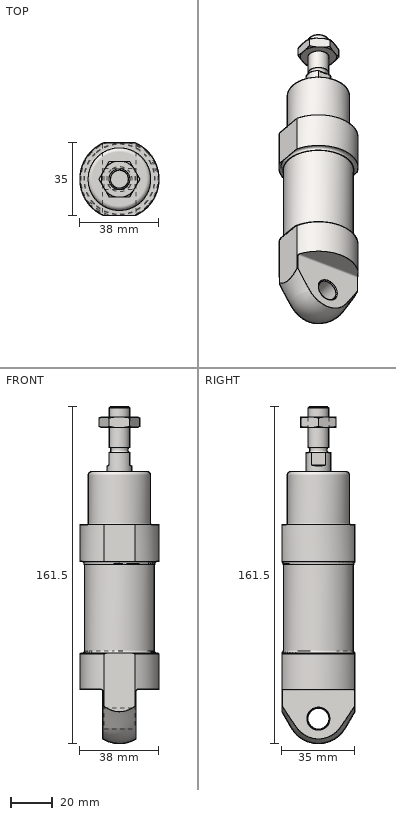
import cadquery as cq
import math


top_z = 149.5
bottom_z = -12.0

rod_reach = 31.0
rod_d = 12.0
thread_d = 10.0
thread_length = 19.5
tip_chamfer = 0.7
undercut_d = 8.4
undercut_length = 2.5
wrench_width = 10.0
wrench_length = 6.0
wrench_foot_drop = 0.5

nut_width = 17.0
nut_thickness = 5.0
nut_top_gap = 5.0
nut_chamfer_d = 17.4
nut_chamfer_angle = 25.0

nose_d = 30.0
nose_fillet = 2.0
nose_length = 25.5
nose_root_fillet = 0.4
cap_d = 38.0
cap_width = 35.0
front_cap_length = 17.7
rear_cap_length = 17.5
rear_cap_chamfer = 0.5
tube_d = 33.6
tube_length = 43.8
tube_fillet = 1.0
collar_d = 34.0
collar_length = 1.4

eye_thickness = 16.0
eye_root_fillet = 0.8
eye_hole_d = 10.0
eye_hole_chamfer = 0.5
dome_radius = 15.0
dome_cone_angle = 60.0

thread_end_z = top_z - thread_length
rod_shoulder_z = thread_end_z - undercut_length
nut_z = top_z - nut_top_gap - nut_thickness
nose_top_z = top_z - rod_reach
front_cap_top_z = nose_top_z - nose_length
tube_top_z = front_cap_top_z - front_cap_length
rear_cap_top_z = tube_top_z - tube_length
rear_cap_z = rear_cap_top_z - rear_cap_length


def cylinder(diameter, z_low, z_high):
    return cq.Workplane("XY").workplane(offset=z_low).circle(diameter / 2).extrude(z_high - z_low)


def block(size_x, size_y, z_low, z_high):
    return cq.Workplane("XY").workplane(offset=z_low).rect(size_x, size_y).extrude(z_high - z_low)


def make_spindle(core_d, z_low, z_high, low_fillet, high_fillet):
    """Round core along Z that flares through a concave fillet at each end; a zero fillet stays straight."""
    core_r = core_d / 2
    inset = 1 - math.sqrt(0.5)
    outline = cq.Workplane("XZ").moveTo(0, z_low).lineTo(core_r + low_fillet, z_low)
    if low_fillet:
        outline = outline.threePointArc(
            (core_r + low_fillet * inset, z_low + low_fillet * inset), (core_r, z_low + low_fillet)
        )
    outline = outline.lineTo(core_r, z_high - high_fillet)
    if high_fillet:
        outline = outline.threePointArc(
            (core_r + high_fillet * inset, z_high - high_fillet * inset), (core_r + high_fillet, z_high)
        )
    return outline.lineTo(0, z_high).close().revolve(360, (0, 0, 0), (0, 1, 0))


def make_wrench_cut():
    """Material beside one wrench flat, with a foot that slopes down and outward."""
    foot_z = rod_shoulder_z - wrench_length
    flat_x = wrench_width / 2
    return (
        cq.Workplane("XZ")
        .moveTo(flat_x, rod_shoulder_z)
        .lineTo(rod_d / 2, rod_shoulder_z)
        .lineTo(rod_d / 2, foot_z - wrench_foot_drop)
        .lineTo(flat_x, foot_z)
        .close()
        .extrude(rod_d / 2, both=True)
    )


def make_rod():
    thread = cylinder(thread_d, thread_end_z, top_z).faces(">Z").chamfer(tip_chamfer)
    undercut_fillet = (thread_d - undercut_d) / 2
    undercut = make_spindle(undercut_d, rod_shoulder_z, thread_end_z, undercut_fillet, undercut_fillet)
    wrench_cut = make_wrench_cut()
    shank = cylinder(rod_d, nose_top_z, rod_shoulder_z).cut(wrench_cut).cut(wrench_cut.mirror("YZ"))
    return shank.union(undercut).union(thread)


def make_nut():
    corner_d = nut_width / math.cos(math.pi / 6)
    drop = (corner_d - nut_chamfer_d) / 2 * math.tan(math.radians(nut_chamfer_angle))
    hexagon = cq.Workplane("XY").workplane(offset=nut_z).polygon(6, corner_d).extrude(nut_thickness)
    turned_blank = (
        cylinder(corner_d, nut_z, nut_z + nut_thickness)
        .faces("<Z or >Z")
        .chamfer(drop, (corner_d - nut_chamfer_d) / 2)
    )
    bore = cylinder(thread_d, nut_z, nut_z + nut_thickness)
    return hexagon.intersect(turned_blank).cut(bore)


def make_cap_flats(z_low, z_high):
    return block(cap_d, cap_width, z_low, z_high)


def make_dome_envelope():
    """Turned blank of the eye: a spherical tip running tangent into a cone."""
    angle = math.radians(dome_cone_angle)
    tangent_r = dome_radius * math.sin(angle)
    tangent_z = bottom_z + dome_radius * (1 - math.cos(angle))
    middle_r = dome_radius * math.sin(angle / 2)
    middle_z = bottom_z + dome_radius * (1 - math.cos(angle / 2))
    rim_r = cap_d / 2
    rim_z = tangent_z + (rim_r - tangent_r) * math.tan(angle)
    return (
        cq.Workplane("XZ")
        .moveTo(0, bottom_z)
        .threePointArc((middle_r, middle_z), (tangent_r, tangent_z))
        .lineTo(rim_r, rim_z)
        .lineTo(rim_r, rear_cap_top_z)
        .lineTo(0, rear_cap_top_z)
        .close()
        .revolve(360, (0, 0, 0), (0, 1, 0))
    )


def make_eye_profile():
    """Rear cap and tongue seen along Y, with filleted roots beside the tongue."""
    cap = block(cap_d, cap_d, rear_cap_z, rear_cap_top_z)
    tongue = block(eye_thickness, cap_d, bottom_z, rear_cap_z)
    root_reach = eye_thickness / 2 + eye_root_fillet
    root_selector = cq.selectors.BoxSelector(
        (-root_reach, -cap_d, rear_cap_z - eye_root_fillet),
        (root_reach, cap_d, rear_cap_z + eye_root_fillet),
    )
    return cap.union(tongue).edges("|Y").edges(root_selector).fillet(eye_root_fillet)


def make_eye_hole():
    hole = cq.Workplane("YZ").circle(eye_hole_d / 2).extrude(eye_thickness / 2, both=True)
    for side in (-1, 1):
        countersink = (
            cq.Workplane("YZ")
            .workplane(offset=side * eye_thickness / 2)
            .circle(eye_hole_d / 2 + eye_hole_chamfer)
            .extrude(-side * eye_hole_chamfer, taper=45)
        )
        hole = hole.union(countersink)
    return hole


def make_rear_cap():
    chamfered_blank = cylinder(cap_d, bottom_z, rear_cap_top_z).faces(">Z").chamfer(rear_cap_chamfer)
    return (
        make_dome_envelope()
        .intersect(chamfered_blank)
        .intersect(make_eye_profile())
        .cut(make_eye_hole())
    )


def make_housing():
    nose = make_spindle(nose_d, front_cap_top_z, nose_top_z, nose_root_fillet, 0)
    nose = nose.faces(">Z").edges().fillet(nose_fillet)
    front_cap = cylinder(cap_d, tube_top_z, front_cap_top_z)
    collar_z = tube_top_z - collar_length
    tube = make_spindle(tube_d, rear_cap_top_z, collar_z, tube_fillet, 0)
    collar = make_spindle(collar_d, collar_z, tube_top_z, 0, tube_fillet)
    body = make_rear_cap().union(tube).union(collar).union(front_cap).union(nose)
    return body.intersect(make_cap_flats(bottom_z, nose_top_z))


rod = make_rod()
nut = make_nut()
housing = make_housing()

result = cq.Compound.makeCompound([housing.val(), rod.val(), nut.val()])